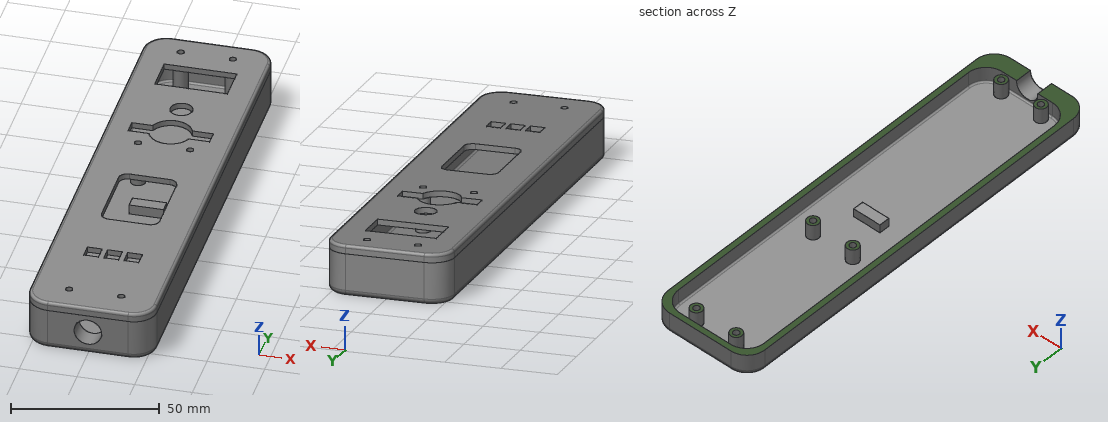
import cadquery as cq

LENGTH = 170.3
WIDTH = 44.0
HEIGHT = 18.0
CORNER_RADIUS = 8.0
LID_HEIGHT = 3.0
TOP_FILLET = 1.0
BOTTOM_FILLET = 2.0
HOUSING_HEIGHT = HEIGHT - LID_HEIGHT

WALL = 2.5
FLOOR = 2.5
FRONT_WALL = 7.0
CAVITY_FILLET = 0.7
LID_WEB = 2.0
CAVITY_WIDTH = WIDTH - 2 * WALL
CAVITY_LENGTH = LENGTH - WALL - FRONT_WALL
CAVITY_Y = (FRONT_WALL - WALL) / 2
CAVITY_CORNER = 8.0

POST_DIAMETER = 5.1
SCREW_DIAMETER = 2.4
SCREW_X = 9.0
SCREW_ROWS = (77.1, 18.9, -75.0)
SCREW_POINTS = [(side * SCREW_X, y) for y in SCREW_ROWS for side in (-1, 1)]

BLOCK_X_MIN = -7.0
BLOCK_X_MAX = 5.0
BLOCK_Y_MIN = -1.4
BLOCK_Y_MAX = 3.0
BLOCK_TOP = 6.1

CABLE_DIAMETER = 9.5
CABLE_Z = 8.5

DISPLAY_WIDTH = 25.2
DISPLAY_LENGTH = 12.8
DISPLAY_Y = 62.1
ROUND_DIAMETER = 7.7
ROUND_Y = 42.5
DIAL_DIAMETER = 14.6
DIAL_SLOT_WIDTH = 28.3
DIAL_SLOT_LENGTH = 5.1
DIAL_Y = 28.0
WINDOW_WIDTH = 20.1
WINDOW_LENGTH = 29.0
WINDOW_CORNER = 3.0
WINDOW_Y = -15.2
KEY_SIZE = 5.1
KEY_PITCH = 7.0
KEY_COUNT = 3
KEY_Y = -50.7


def rounded_box(width, length, height, corner, z):
    """Upright box with rounded vertical edges and its bottom face at z."""
    return (
        cq.Workplane("XY", origin=(0, 0, z))
        .rect(width, length)
        .extrude(height)
        .edges("|Z")
        .fillet(corner)
    )


def cavity(z, height):
    """Slice of the inner space, starting at z."""
    return rounded_box(CAVITY_WIDTH, CAVITY_LENGTH, height, CAVITY_CORNER, z).translate((0, CAVITY_Y, 0))


def screw_cylinders(diameter, z, height):
    """One cylinder at every screw place."""
    return (
        cq.Workplane("XY", origin=(0, 0, z)).pushPoints(SCREW_POINTS).circle(diameter / 2).extrude(height)
    )


def build_housing():
    """Open tray with screw posts, a block on its floor and a cable hole."""
    depth = HOUSING_HEIGHT - FLOOR
    tray = rounded_box(WIDTH, LENGTH, HOUSING_HEIGHT, CORNER_RADIUS, 0)
    tray = tray.faces("<Z").edges().fillet(BOTTOM_FILLET)
    tray = tray.cut(cavity(FLOOR, depth).faces("<Z").edges().fillet(CAVITY_FILLET))

    posts = screw_cylinders(POST_DIAMETER, FLOOR, depth)
    block = cq.Workplane("XY").box(
        BLOCK_X_MAX - BLOCK_X_MIN, BLOCK_Y_MAX - BLOCK_Y_MIN, BLOCK_TOP - FLOOR, centered=False
    )
    block = block.translate((BLOCK_X_MIN, BLOCK_Y_MIN, FLOOR))
    tray = tray.union(posts).union(block)

    cable_hole = (
        cq.Workplane("XZ", origin=(0, -LENGTH / 2, CABLE_Z)).circle(CABLE_DIAMETER / 2).extrude(-FRONT_WALL)
    )
    return tray.cut(screw_cylinders(SCREW_DIAMETER, FLOOR, depth)).cut(cable_hole)


def lid_openings():
    """Cutters for every opening that passes through the lid."""
    base = cq.Workplane("XY", origin=(0, 0, HOUSING_HEIGHT))
    display = base.center(0, DISPLAY_Y).rect(DISPLAY_WIDTH, DISPLAY_LENGTH).extrude(LID_HEIGHT)
    round_hole = base.center(0, ROUND_Y).circle(ROUND_DIAMETER / 2).extrude(LID_HEIGHT)
    dial = base.center(0, DIAL_Y).circle(DIAL_DIAMETER / 2).extrude(LID_HEIGHT)
    dial_slot = base.center(0, DIAL_Y).rect(DIAL_SLOT_WIDTH, DIAL_SLOT_LENGTH).extrude(LID_HEIGHT)
    window = rounded_box(WINDOW_WIDTH, WINDOW_LENGTH, LID_HEIGHT, WINDOW_CORNER, HOUSING_HEIGHT)
    window = window.translate((0, WINDOW_Y, 0))
    keys = base.center(0, KEY_Y).rarray(KEY_PITCH, 1.7, KEY_COUNT, 1).rect(KEY_SIZE, KEY_SIZE).extrude(LID_HEIGHT)
    screws = screw_cylinders(SCREW_DIAMETER, HOUSING_HEIGHT, LID_HEIGHT)
    return [display, round_hole, dial, dial_slot, window, keys, screws]


def build_lid():
    """Cover with a rounded top edge, hollow underneath, and its openings."""
    lid = rounded_box(WIDTH, LENGTH, LID_HEIGHT, CORNER_RADIUS, HOUSING_HEIGHT)
    lid = lid.faces(">Z").edges().fillet(TOP_FILLET)
    lid = lid.cut(cavity(HOUSING_HEIGHT, LID_HEIGHT - LID_WEB))
    for opening in lid_openings():
        lid = lid.cut(opening)
    return lid


housing = build_housing()
lid = build_lid()

result = cq.Compound.makeCompound([housing.val(), lid.val()])